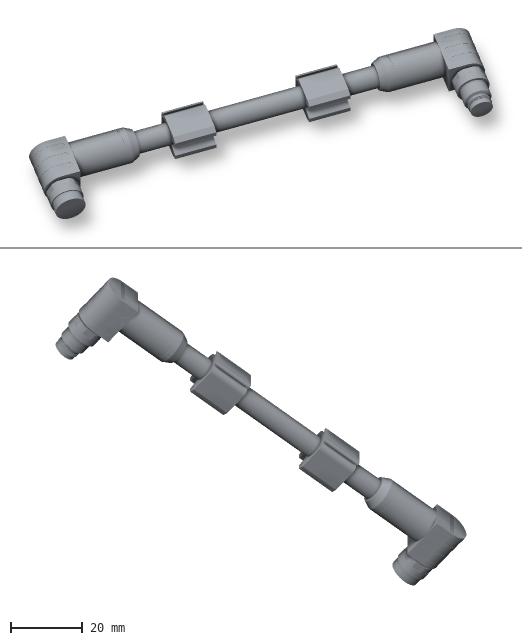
import cadquery as cq
import math


total_length = 129.6
end_y = total_length / 2
outer_diameter = 10.2
outer_radius = outer_diameter / 2
cable_diameter = 6.5

body_length_x = 13.0
body_depth_y = 10.6
body_left_x = -outer_radius
body_right_x = body_left_x + body_length_x
body_center_x = (body_left_x + body_right_x) / 2
plug_axis_y = end_y - outer_radius

groove_depth = 0.06
groove_width = 2.0
groove_pitch = 3.5
groove_count = 3
groove_reach_y = 9.5
groove_corner_radius = 0.9

recess_near = 4.4
recess_far = 6.0
recess_width_z = 8.3
recess_depth = 0.3
recess_corner_radius = 0.5

joint_width = 0.3
joint_depth = 0.1
sleeve_end = 27.1
cone_end = 29.4
cone_tip_diameter = 8.0
mark_center = 25.1
mark_width_y = 0.6
mark_length_x = 4.7
mark_depth = 0.1

neck_diameter = 6.5
nut_diameter = 9.6
nut_across_flats = 9.1
nut_start_x = 8.5
flats_end_x = 10.5
nut_end_x = 12.8

socket_diameter = 8.8
socket_end_x = 15.7

plug_diameter = 8.0
plug_shoulder_x = 16.7
plug_cone_end_x = 17.1
tip_diameter = 6.5
tip_end_x = 20.2
ring_diameter = 6.9
ring_groove_diameter = 5.8
ring_start_x = 17.9
ring_width = 0.2
ring_pitch = 0.4
ring_count = 3

clip_length = 12.0
clip_center_y = 19.7
clip_half_height = 4.5
clip_back_x = -5.6
clip_plate_thickness = 0.8
clip_plate_half_height = 3.4
clip_plate_edge_radius = 0.6
clip_neck_half_height = 2.3
clip_top_start_x = -2.3
clip_top_end_x = 4.7
clip_shoulder_radius = 1.7
clip_lip_x = 6.4
clip_lip_z = 3.6
clip_lip_thickness = 1.5
clip_mouth_x = 2.9
clip_mouth_half_height = 1.2


def cylinder_x(diameter, start_x, end_x):
    """Cylinder on the plug axis of the +Y end."""
    disc = cq.Workplane("YZ", origin=(start_x, plug_axis_y, 0)).circle(diameter / 2)
    return disc.extrude(end_x - start_x)


def cylinder_y(diameter, high_y, low_y):
    """Cylinder on the cable axis."""
    disc = cq.Workplane("XZ", origin=(0, high_y, 0)).circle(diameter / 2)
    return disc.extrude(high_y - low_y)


def rounded_block(radius, depth_y, start_x, length_x):
    """Block whose outer Y end is a half cylinder on the plug axis."""
    inner_y = end_y - depth_y
    return (
        cq.Workplane("YZ", origin=(start_x, 0, 0))
        .moveTo(inner_y, -radius)
        .lineTo(plug_axis_y, -radius)
        .threePointArc((plug_axis_y + radius, 0), (plug_axis_y, radius))
        .lineTo(inner_y, radius)
        .close()
        .extrude(length_x)
    )


def make_body():
    body = rounded_block(outer_radius, body_depth_y, body_left_x, body_length_x)
    for index in range(groove_count):
        center_x = body_center_x + (index - (groove_count - 1) / 2) * groove_pitch
        start_x = center_x - groove_width / 2
        floor = rounded_block(outer_radius - groove_depth, body_depth_y, start_x, groove_width)
        outline = (
            cq.Workplane("XY")
            .box(groove_width, groove_reach_y, outer_diameter)
            .edges("|Z and <Y")
            .fillet(groove_corner_radius)
            .translate((center_x, end_y - groove_reach_y / 2, 0))
        )
        body = body.cut(outline.cut(floor))
    recess = (
        cq.Workplane("XY")
        .box(recess_depth, recess_far - recess_near, recess_width_z)
        .edges("|X and <Y")
        .fillet(recess_corner_radius)
        .translate((body_left_x + recess_depth / 2, end_y - (recess_near + recess_far) / 2, 0))
    )
    return body.cut(recess)


def make_sleeve():
    """Sleeve with a joint line at the body, a tapered end and shallow marks on top and bottom."""
    start_y = end_y - body_depth_y
    joint_radius = outer_radius - joint_depth
    profile = [
        (0, start_y),
        (joint_radius, start_y),
        (joint_radius, start_y - joint_width),
        (outer_radius, start_y - joint_width),
        (outer_radius, end_y - sleeve_end),
        (cone_tip_diameter / 2, end_y - cone_end),
        (0, end_y - cone_end),
    ]
    sleeve = cq.Workplane("XY").polyline(profile).close().revolve(360, (0, 0, 0), (0, 1, 0))
    mark_y = end_y - mark_center
    mark = (
        cylinder_y(outer_diameter, mark_y + mark_width_y / 2, mark_y - mark_width_y / 2)
        .cut(cylinder_y(outer_diameter - 2 * mark_depth, mark_y + mark_width_y, mark_y - mark_width_y))
        .intersect(cq.Workplane("XY").box(mark_length_x, total_length, outer_diameter))
    )
    return sleeve.cut(mark)


def make_nut():
    """Neck and round nut whose first stretch has six flats, one facing +Z."""
    neck = cylinder_x(neck_diameter, body_right_x, nut_start_x)
    collar = cylinder_x(nut_diameter, flats_end_x, nut_end_x)
    across_corners = nut_across_flats / math.cos(math.pi / 6)
    hexagon = (
        cq.Workplane("YZ", origin=(nut_start_x, plug_axis_y, 0))
        .polygon(6, across_corners)
        .extrude(flats_end_x - nut_start_x)
    )
    flats = cylinder_x(nut_diameter, nut_start_x, flats_end_x).intersect(hexagon)
    return neck.union(flats).union(collar)


def make_socket():
    return cylinder_x(socket_diameter, nut_end_x, socket_end_x)


def make_plug():
    """Stepped plug with narrow rings in a groove near its tip."""
    profile = [
        (nut_end_x, plug_axis_y),
        (nut_end_x, plug_axis_y + plug_diameter / 2),
        (plug_shoulder_x, plug_axis_y + plug_diameter / 2),
        (plug_cone_end_x, plug_axis_y + tip_diameter / 2),
        (tip_end_x, plug_axis_y + tip_diameter / 2),
        (tip_end_x, plug_axis_y),
    ]
    plug = (
        cq.Workplane("XY").polyline(profile).close()
        .revolve(360, (0, plug_axis_y, 0), (1, plug_axis_y, 0))
    )
    ring_end_x = ring_start_x + (ring_count - 1) * ring_pitch + ring_width
    groove = cylinder_x(ring_diameter, ring_start_x, ring_end_x)
    plug = plug.cut(groove.cut(cylinder_x(ring_groove_diameter, ring_start_x, ring_end_x)))
    for index in range(ring_count):
        start_x = ring_start_x + index * ring_pitch
        plug = plug.union(cylinder_x(ring_diameter, start_x, start_x + ring_width))
    return plug


def make_clip(center_y):
    """C-shaped clip open towards +X, with a label plate on its back."""
    plate_front_x = clip_back_x + clip_plate_thickness
    shoulder_x = clip_top_start_x - clip_shoulder_radius
    half_clip = (
        cq.Workplane("XZ", origin=(0, center_y + clip_length / 2, 0))
        .moveTo(clip_back_x, 0)
        .lineTo(clip_back_x, clip_plate_half_height - clip_plate_edge_radius)
        .radiusArc(
            (clip_back_x + clip_plate_edge_radius, clip_plate_half_height), clip_plate_edge_radius
        )
        .lineTo(plate_front_x, clip_plate_half_height)
        .lineTo(plate_front_x, clip_neck_half_height)
        .lineTo(shoulder_x, clip_neck_half_height)
        .lineTo(shoulder_x, clip_half_height - clip_shoulder_radius)
        .radiusArc((clip_top_start_x, clip_half_height), clip_shoulder_radius)
        .lineTo(clip_top_end_x, clip_half_height)
        .lineTo(clip_lip_x, clip_lip_z)
        .lineTo(clip_lip_x, clip_lip_z - clip_lip_thickness)
        .lineTo(clip_mouth_x, clip_mouth_half_height)
        .lineTo(clip_mouth_x, 0)
        .close()
        .extrude(clip_length)
    )
    return half_clip.union(half_clip.mirror("XY"))


def make_elbow(connector):
    """Complete right-angle end for the +Y side."""
    return make_body().union(make_sleeve()).union(make_nut()).union(connector)


inner_reach = end_y - body_depth_y
result = cylinder_y(cable_diameter, inner_reach, -inner_reach)
result = result.union(make_elbow(make_plug()))
result = result.union(make_elbow(make_socket()).mirror("XZ"))
for side in (-1, 1):
    result = result.union(make_clip(side * clip_center_y))